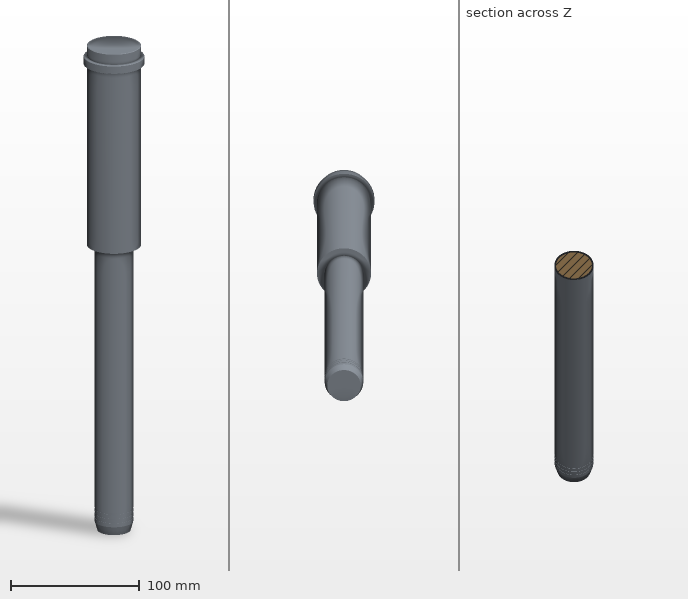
import cadquery as cq

total_length = 400.0
head_diameter = 42.0
collar_diameter = 47.0
shaft_diameter = 30.0
tip_diameter = 26.0

head_length = 165.0
collar_setback = 9.0
collar_width = 6.5
tip_length = 7.0

groove_count = 3
groove_width = 1.0
groove_depth = 0.2
groove_pitch = 3.5
first_groove_height = 10.5


neck_width = 1.0
neck_depth = 0.2

edge_break = 0.5


def cylinder(diameter, bottom, height):
    """Upright cylinder on the Z axis."""
    return cq.Workplane("XY").workplane(offset=bottom).circle(diameter / 2).extrude(height)


def shaft():
    """Slim lower shaft with a tapered tip."""
    shaft_radius = shaft_diameter / 2
    tip_radius = tip_diameter / 2
    shaft_top = total_length - head_length
    return (
        cq.Workplane("XZ")
        .moveTo(0, 0)
        .lineTo(tip_radius, 0)
        .lineTo(shaft_radius, tip_length)
        .lineTo(shaft_radius, shaft_top)
        .lineTo(0, shaft_top)
        .close()
        .revolve(360, (0, 0, 0), (0, 1, 0))
    )


def ring_groove(diameter, bottom, width, depth):
    """Ring of material to remove from the surface of a cylinder."""
    outer = cylinder(diameter, bottom, width)
    core = cylinder(diameter - 2 * depth, bottom, width)
    return outer.cut(core)


head_bottom = total_length - head_length
collar_top = total_length - collar_setback
collar_bottom = collar_top - collar_width
head = cylinder(head_diameter, head_bottom, head_length).faces(">Z").chamfer(edge_break)
collar = cylinder(collar_diameter, collar_bottom, collar_width).faces(">Z").chamfer(edge_break)
result = shaft().union(head).union(collar)

for neck_bottom in (collar_top, collar_bottom - neck_width):
    result = result.cut(ring_groove(head_diameter, neck_bottom, neck_width, neck_depth))
result = result.cut(ring_groove(shaft_diameter, head_bottom - neck_width, neck_width, neck_depth))

for index in range(groove_count):
    groove_bottom = first_groove_height + index * groove_pitch
    result = result.cut(ring_groove(shaft_diameter, groove_bottom, groove_width, groove_depth))